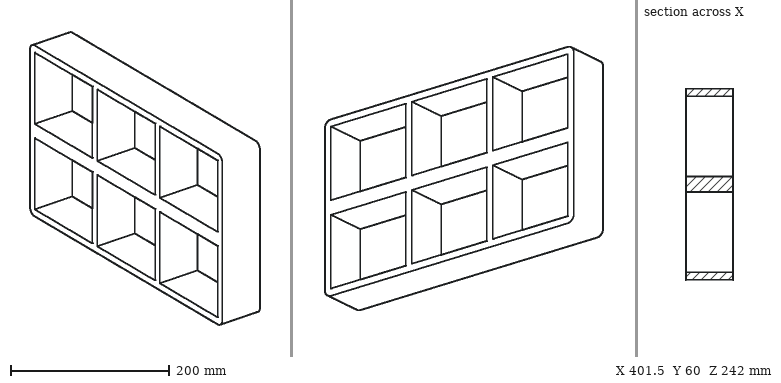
import cadquery as cq

columns = 3
rows = 2
opening_width = 120.5
opening_height = 101.0
wall = 10.0
shelf_thickness = 20.0
depth = 60.0
corner_radius = 10.0

column_pitch = opening_width + wall
row_pitch = opening_height + shelf_thickness
frame_width = columns * opening_width + (columns + 1) * wall
frame_height = rows * opening_height + (rows - 1) * shelf_thickness + 2 * wall


def make_block():
    """Solid block centred on the origin, with its four Y-direction edges rounded."""
    block = cq.Workplane("XY").box(frame_width, depth, frame_height)
    return block.edges("|Y").fillet(corner_radius)


def make_openings():
    """Grid of rectangular openings that run through the full depth."""
    return (
        cq.Workplane("XZ")
        .rarray(column_pitch, row_pitch, columns, rows)
        .rect(opening_width, opening_height)
        .extrude(depth / 2, both=True)
    )


result = make_block().cut(make_openings())